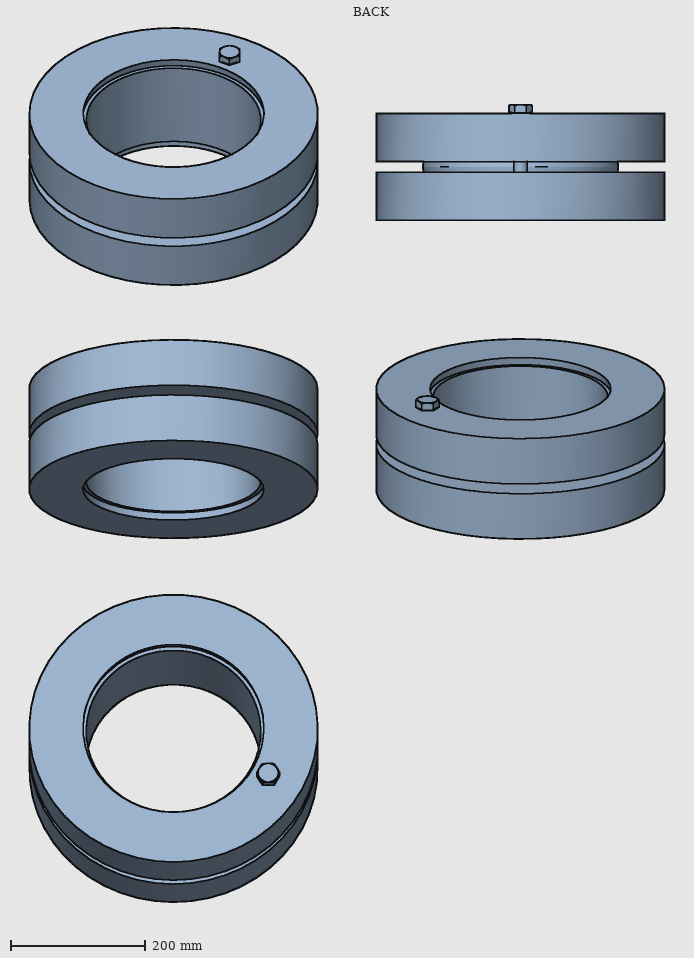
import cadquery as cq
import math

outer_diameter = 430.0
flange_stack_height = 159.5
flange_gap = 15.5
flange_inner_z = flange_gap / 2
flange_outer_z = flange_stack_height / 2

ring_bore_diameter = 260.0
cone_mid_diameter = 292.0
cone_end_diameter = 269.0
ring_end_recess = 12.0
ring_half_length = flange_outer_z - ring_end_recess

bolt_circle_diameter = 321.0
bolt_center_y = bolt_circle_diameter / 2
shank_diameter = 20.0
head_across_flats = 30.0
head_height = 13.0
washer_face_diameter = 27.5
washer_face_height = 1.0
head_chamfer_angle = 30.0
bolt_depth_in_lower_flange = 43.0
bolt_tip_z = -flange_inner_z - bolt_depth_in_lower_flange


def cone_radius(z):
    """Radius of the shared sealing cone at height z."""
    taper = (cone_mid_diameter - cone_end_diameter) / 2 / flange_outer_z
    return cone_mid_diameter / 2 - taper * abs(z)


def cylinder(diameter, bottom_z, top_z, center_y=0.0):
    return (
        cq.Workplane("XY", origin=(0, center_y, bottom_z))
        .circle(diameter / 2)
        .extrude(top_z - bottom_z)
    )


def revolve_profile(points):
    """Turn (radius, z) points about the Z axis."""
    return cq.Workplane("XZ").polyline(points).close().revolve(360, (0, 0, 0), (0, 1, 0))


def make_bolt_shank():
    return cylinder(shank_diameter, bolt_tip_z, flange_outer_z, bolt_center_y)


def make_flange(side):
    """Flange above (side = 1) or below (side = -1) the gap, with its bolt hole."""
    inner_z = side * flange_inner_z
    outer_z = side * flange_outer_z
    outer_radius = outer_diameter / 2
    body = revolve_profile([
        (cone_radius(inner_z), inner_z),
        (outer_radius, inner_z),
        (outer_radius, outer_z),
        (cone_radius(outer_z), outer_z),
    ])
    return body.cut(make_bolt_shank())


def make_seal_ring():
    bore_radius = ring_bore_diameter / 2
    end_radius = cone_radius(ring_half_length)
    return revolve_profile([
        (bore_radius, -ring_half_length),
        (end_radius, -ring_half_length),
        (cone_radius(0), 0),
        (end_radius, ring_half_length),
        (bore_radius, ring_half_length),
    ])


def make_bolt_head():
    """Hexagon with two flats facing +Y and -Y, corners chamfered on top."""
    hex_bottom_z = flange_outer_z + washer_face_height
    head_top_z = flange_outer_z + head_height
    across_corners = head_across_flats / math.cos(math.radians(30))
    hexagon = (
        cq.Workplane("XY", origin=(0, bolt_center_y, hex_bottom_z))
        .polygon(6, across_corners)
        .extrude(head_top_z - hex_bottom_z)
    )
    corner_drop = (across_corners - head_across_flats) / 2 * math.tan(math.radians(head_chamfer_angle))
    envelope = revolve_profile([
        (0, hex_bottom_z),
        (across_corners / 2, hex_bottom_z),
        (across_corners / 2, head_top_z - corner_drop),
        (head_across_flats / 2, head_top_z),
        (0, head_top_z),
    ]).translate((0, bolt_center_y, 0))
    washer_face = cylinder(washer_face_diameter, flange_outer_z, hex_bottom_z, bolt_center_y)
    return hexagon.intersect(envelope).union(washer_face)


def make_bolt():
    return make_bolt_shank().union(make_bolt_head())


flanges = [make_flange(side) for side in (1, -1)]
seal_ring = make_seal_ring()
bolt = make_bolt()

result = cq.Compound.makeCompound([
    *[flange.val() for flange in flanges],
    seal_ring.val(),
    bolt.val(),
])